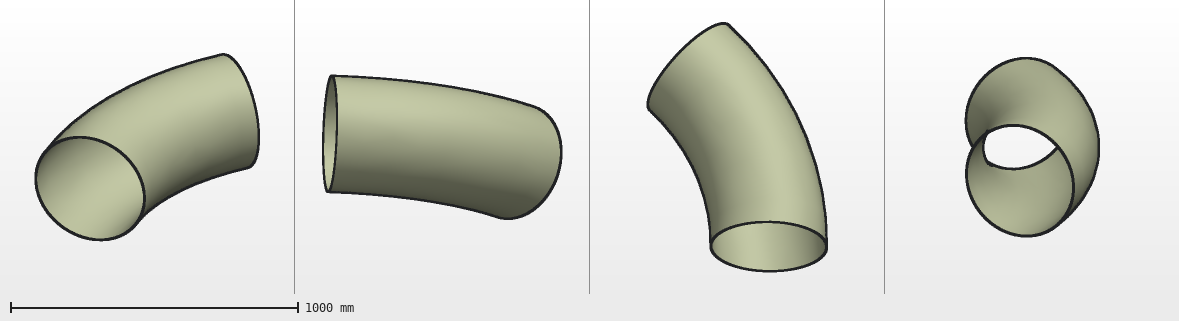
import cadquery as cq
import math

bend_angle = 45.0
elbow_length = 829.5
outer_diameter = 406.5
wall = 3.0

outer_radius = outer_diameter / 2
inner_radius = outer_radius - wall

outer_bend_radius = elbow_length / math.sin(math.radians(bend_angle))
bend_radius = outer_bend_radius - outer_radius

inlet_ring = cq.Workplane("XZ").circle(outer_radius).circle(inner_radius)

result = inlet_ring.revolve(bend_angle, (bend_radius, 8, 0), (bend_radius, 0, 0))